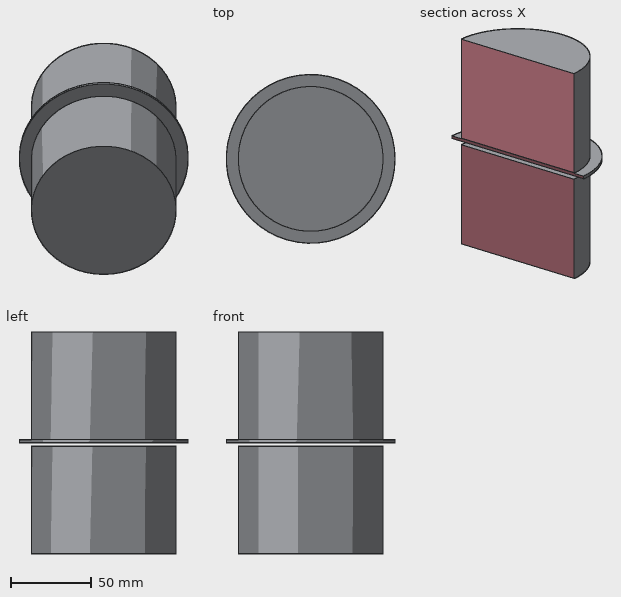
import cadquery as cq

overall_height = 138.0
cylinder_diameter = 90.0
disc_diameter = 105.0
disc_thickness = 2.0
gap_below_disc = 2.0

disc_bottom = 0.0
disc_top = disc_bottom + disc_thickness
lower_cylinder_top = disc_bottom - gap_below_disc
cylinder_height = (overall_height - disc_thickness - gap_below_disc) / 2
lower_cylinder_bottom = lower_cylinder_top - cylinder_height


def round_body(diameter, height, bottom):
    """Plain solid cylinder on the Z axis, standing on the given height."""
    return cq.Workplane("XY").workplane(offset=bottom).circle(diameter / 2).extrude(height)


def make_cylinder(bottom):
    """One of the two equal large cylinders."""
    return round_body(cylinder_diameter, cylinder_height, bottom)


def make_disc():
    """Thin, wider disc that the upper cylinder stands on."""
    return round_body(disc_diameter, disc_thickness, disc_bottom)


cylinders = [make_cylinder(bottom) for bottom in (disc_top, lower_cylinder_bottom)]
disc = make_disc()

result = cq.Compound.makeCompound([*[cylinder.val() for cylinder in cylinders], disc.val()])